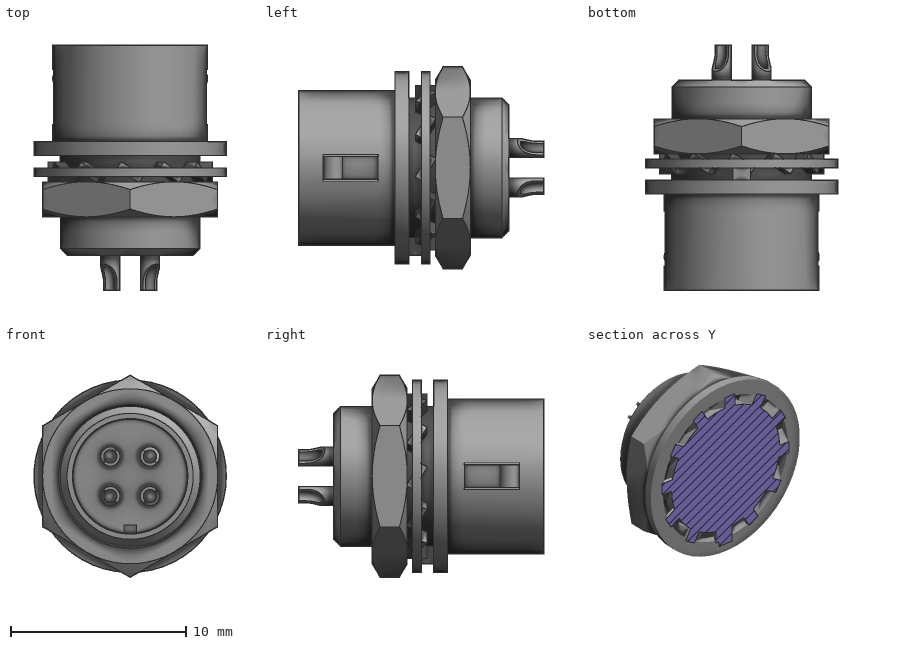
import cadquery as cq
import math


FLANGE_START = 5.5
FLANGE_END = 6.3
WASHER_START = 7.0
WASHER_END = 7.5
NUT_START = 7.8
NUT_END = 9.8
BODY_END = 12.0
PIN_END = 14.0

SHELL_RADIUS = 4.43
THREAD_RADIUS = 4.0
THREAD_CHAMFER = 0.4
FLANGE_RADIUS = 5.5
CAVITY_RADIUS = 3.5
CAVITY_DEPTH = FLANGE_START

OVERLAP = 0.1

RECESS_FLOOR_RADIUS = 3.26
RECESS_MOUTH_RADIUS = 3.30
RECESS_DEPTH = 0.5
NOTCH_WIDTH = 0.73
NOTCH_INNER_DISTANCE = 2.79
NOTCH_DEPTH = 0.2

WINDOW_START = 1.4
WINDOW_END = 4.53
WINDOW_WIDTH = 1.5
SLIT_WIDTH = 0.09
LATCH_RADIUS = 3.9
HOOK_PEAK = 1.91
HOOK_RADIUS = 0.6

TAB_WIDTH = 1.0
TAB_HEIGHT = 5.0

TOOTH_COUNT = 12
TOOTH_WIDTH = 1.5
TOOTH_THICKNESS = WASHER_END - WASHER_START
TOOTH_TILT = 30.0
TOOTH_OUTER = 4.7
TOOTH_INNER = THREAD_RADIUS - OVERLAP
WASHER_BORE_RADIUS = TOOTH_OUTER - OVERLAP

NUT_FLATS = 10.0
NUT_CORNERS = NUT_FLATS / math.cos(math.radians(30))
NUT_CHAMFER_ANGLE = 30.0
NUT_BORE_CHAMFER = 0.1

PIN_COUNT = 4
PIN_CIRCLE_RADIUS = 1.6
PIN_RADIUS = 0.55
CUP_RADIUS = 0.375
CUP_START = BODY_END + 0.5
CUP_FLAT_START = CUP_START + 1.1


def at_station(station):
    """Workplane across the axis; extrusions run toward the solder end."""
    return cq.Workplane("XZ", origin=(0, -station, 0))


def disc(radius, start, end):
    return at_station(start).circle(radius).extrude(end - start)


def around_axis(shape, angle):
    return shape.rotate((0, 0, 0), (0, 1, 0), angle)


def block(x_range, station_range, z_range):
    """Box between limits in X, axial station and Z."""
    start, end = station_range
    return (
        at_station(start)
        .moveTo((x_range[0] + x_range[1]) / 2, (z_range[0] + z_range[1]) / 2)
        .rect(x_range[1] - x_range[0], z_range[1] - z_range[0])
        .extrude(end - start)
    )


def make_body():
    thread = disc(THREAD_RADIUS, FLANGE_END, BODY_END).faces("<Y").chamfer(THREAD_CHAMFER)
    body = disc(SHELL_RADIUS, 0, FLANGE_START)
    body = body.union(disc(FLANGE_RADIUS, FLANGE_START, FLANGE_END))
    body = body.union(thread)
    body = body.cut(disc(CAVITY_RADIUS, 0, CAVITY_DEPTH))
    floor = BODY_END - RECESS_DEPTH
    flare = math.degrees(math.atan((RECESS_MOUTH_RADIUS - RECESS_FLOOR_RADIUS) / RECESS_DEPTH))
    recess = at_station(floor).circle(RECESS_FLOOR_RADIUS).extrude(RECESS_DEPTH, taper=-flare)
    body = body.cut(recess)
    notch = block(
        (-NOTCH_WIDTH / 2, NOTCH_WIDTH / 2),
        (floor - NOTCH_DEPTH, floor),
        (-RECESS_FLOOR_RADIUS, -NOTCH_INNER_DISTANCE),
    )
    return body.cut(notch.intersect(disc(RECESS_FLOOR_RADIUS, 0, BODY_END)))


def cut_latch_windows(body):
    """Sink a hooked latch, with a slit along each edge, into both sides of the shell."""
    half_width = WINDOW_WIDTH / 2
    latch_half = half_width - SLIT_WIDTH
    window = block(
        (-FLANGE_RADIUS, FLANGE_RADIUS),
        (WINDOW_START, WINDOW_END),
        (-half_width, half_width),
    )
    latch_span = block(
        (-FLANGE_RADIUS, FLANGE_RADIUS),
        (WINDOW_START, WINDOW_END),
        (-latch_half, latch_half),
    )
    latch_wall = disc(LATCH_RADIUS, 0, CAVITY_DEPTH).cut(disc(CAVITY_RADIUS, 0, CAVITY_DEPTH))
    hooks = (
        cq.Workplane("XY", origin=(0, 0, -half_width))
        .pushPoints([(side * (SHELL_RADIUS - HOOK_RADIUS), -HOOK_PEAK) for side in (-1, 1)])
        .circle(HOOK_RADIUS)
        .extrude(WINDOW_WIDTH)
        .cut(disc(CAVITY_RADIUS, 0, CAVITY_DEPTH))
    )
    return body.cut(window).union(latch_wall.union(hooks).intersect(latch_span))


def make_tab():
    return block(
        (-TAB_WIDTH / 2, TAB_WIDTH / 2),
        (FLANGE_END, WASHER_START),
        (-TAB_HEIGHT, -TOOTH_INNER),
    )


def make_washer():
    """Flat ring with tilted teeth that bridge it to the thread and the nut."""
    washer = disc(FLANGE_RADIUS, WASHER_START, WASHER_END)
    washer = washer.cut(disc(WASHER_BORE_RADIUS, WASHER_START, WASHER_END))
    middle = (WASHER_START + WASHER_END) / 2
    tooth = (
        cq.Workplane("XY")
        .box(TOOTH_WIDTH, TOOTH_THICKNESS, TOOTH_OUTER - TOOTH_INNER)
        .rotate((0, 0, 0), (0, 0, 1), -TOOTH_TILT)
        .translate((0, -middle, (TOOTH_OUTER + TOOTH_INNER) / 2))
    )
    for index in range(TOOTH_COUNT):
        washer = washer.union(around_axis(tooth, index * 360 / TOOTH_COUNT))
    return washer


def make_nut():
    """Hexagon with conical corner chamfers and a chamfered bore on both faces."""
    length = NUT_END - NUT_START
    corner_radius = NUT_CORNERS / 2
    face_radius = NUT_FLATS / 2
    chamfer_length = (corner_radius - face_radius) * math.tan(math.radians(NUT_CHAMFER_ANGLE))
    bore_edge = THREAD_RADIUS + NUT_BORE_CHAMFER
    hexagon = around_axis(at_station(NUT_START).polygon(6, NUT_CORNERS).extrude(length), 30)
    envelope = (
        cq.Workplane("XY")
        .polyline([
            (bore_edge, -NUT_START),
            (face_radius, -NUT_START),
            (corner_radius, -NUT_START - chamfer_length),
            (corner_radius, -NUT_END + chamfer_length),
            (face_radius, -NUT_END),
            (bore_edge, -NUT_END),
            (THREAD_RADIUS, -NUT_END + NUT_BORE_CHAMFER),
            (THREAD_RADIUS, -NUT_START - NUT_BORE_CHAMFER),
        ])
        .close()
        .revolve(360, (0, 0, 0), (0, 1, 0))
    )
    return hexagon.intersect(envelope)


def make_pin():
    """Solder-cup pin on +X, with its outward half cut away along a concave ramp."""
    root = BODY_END - RECESS_DEPTH - OVERLAP
    ramp_length = CUP_FLAT_START - CUP_START
    ramp_radius = (ramp_length ** 2 + PIN_RADIUS ** 2) / (2 * PIN_RADIUS)
    half_sweep = math.asin(ramp_length / ramp_radius) / 2
    ramp_middle = (
        ramp_radius * (1 - math.cos(half_sweep)),
        -CUP_FLAT_START + ramp_radius * math.sin(half_sweep),
    )
    opening = (
        cq.Workplane("XY", origin=(0, 0, -PIN_RADIUS))
        .moveTo(0, -PIN_END)
        .lineTo(0, -CUP_FLAT_START)
        .threePointArc(ramp_middle, (PIN_RADIUS, -CUP_START))
        .lineTo(PIN_RADIUS, -PIN_END)
        .close()
        .extrude(2 * PIN_RADIUS)
    )
    pin = disc(PIN_RADIUS, root, PIN_END).cut(disc(CUP_RADIUS, BODY_END, PIN_END)).cut(opening)
    return pin.translate((PIN_CIRCLE_RADIUS, 0, 0))


def add_pins(part):
    pin = make_pin()
    pitch = 360 / PIN_COUNT
    for index in range(PIN_COUNT):
        part = part.union(around_axis(pin, (index + 0.5) * pitch))
    return part


connector = cut_latch_windows(make_body())
connector = connector.union(make_tab()).union(make_washer()).union(make_nut())
result = add_pins(connector)